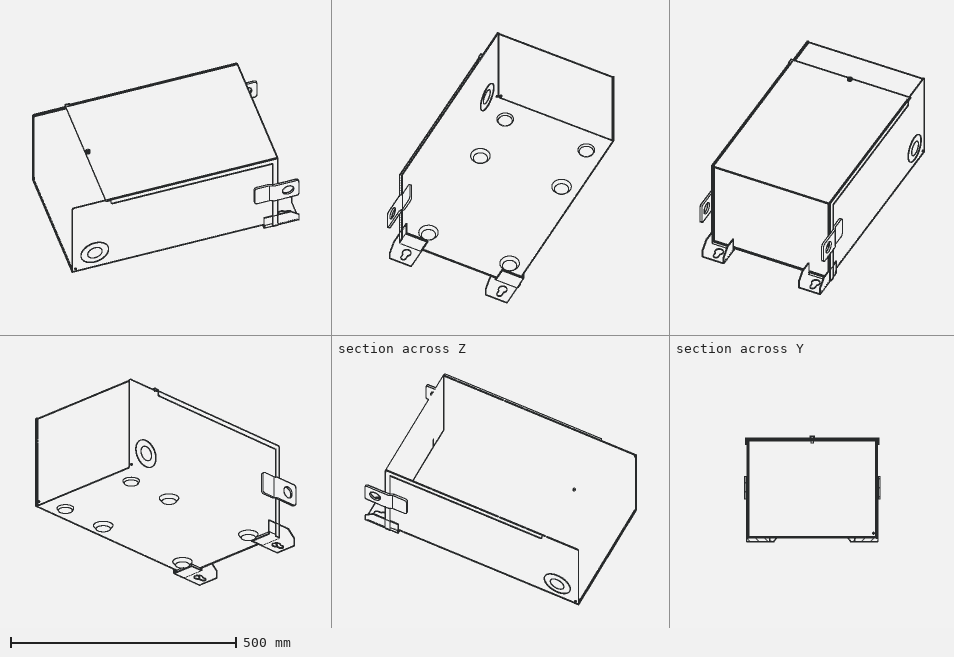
import cadquery as cq


total_width = 306.0
total_length = 528.5
total_height = 234.5
sheet = 1.85

tray_half_width = 144.5
tray_bottom = 8.0
tray_side_top = 228.0
tray_bend_radius = 4.0
tray_nose_radius = 5.0

box_setback = 1.0
box_top = tray_side_top - sheet
box_edge_radius = 2.5
box_half_width = tray_half_width - sheet

foot_x = 101.0
bump_tip_radius = 16.0
foot_root_radius = 21.5
foot_rows_y = (172.5, 427.0)
front_bump_y = 51.0
front_bump_root_radius = 18.5
front_bump_height = 5.5

knockout_y = 52.0
knockout_z = 61.0
knockout_radius = 32.0
knockout_height = 1.5
knockout_center_radius = 17.0
knockout_center_height = 2.0

weep_diameter = 3.5
weep_z = 19.0
weep_side_y = 7.5
weep_front_x = -136.0

bracket_sheet = 2.0
bracket_outer_x = tray_half_width + bracket_sheet
bracket_inner_x = 92.0
bracket_front_y = 446.5
bracket_height = 35.5
bracket_nose_height = 18.5
bracket_slope_length = 19.5
bracket_bend_radius = bracket_sheet
pad_setback = 2.5
keyhole_x = 119.5
keyhole_y = 497.5
keyhole_radius = 9.5
keyhole_slot_radius = 6.0
keyhole_slot_y = 513.0

cover_half_width = bracket_outer_x + sheet
cover_top = tray_side_top + sheet
cover_rear_y = 480.0
cover_front_y = 89.0
cover_strip = 14.0
cover_side_bottom = bracket_bend_radius
cover_bend_radius = 4.0
cover_strip_corner = 5.0
lip_length = 11.5
lip_rise = 0.8

screw_y = 83.0
screw_head_radius = 5.0
screw_shank_radius = 2.5
screw_seat = 230.0
screw_shank_length = 10.5
screw_slot_width = 3.0
screw_slot_depth = 2.0

lug_outer_x = total_width / 2
lug_sheet = 5.0
lug_step = lug_outer_x - lug_sheet - tray_half_width
lug_front_y = 424.0
lug_rear_y = 526.0
lug_bend_front_y = 459.0
lug_bend_rear_y = 466.0
lug_bottom = 94.5
lug_top = 145.5
lug_corner_radius = 6.5
lug_hole_diameter = 26.5
lug_hole_y = 500.5
lug_round_rear_y = 469.5
lug_round_front_y = 463.0
lug_round_drop = 2.4

rear_y = cover_rear_y - sheet


def block(x0, x1, y0, y1, z0, z1):
    """Box between two opposite corners."""
    return cq.Workplane("XY").box(x1 - x0, y1 - y0, z1 - z0, centered=False).translate((x0, y0, z0))


def cylinder_z(x, y, z0, z1, radius):
    """Upright cylinder."""
    return cq.Workplane("XY", origin=(x, y, z0)).circle(radius).extrude(z1 - z0)


def cylinder_x(x0, x1, y, z, radius):
    """Cylinder lying along X."""
    return cq.Workplane("YZ", origin=(x0, y, z)).circle(radius).extrude(x1 - x0)


def on_side(body, side):
    """Left-hand body for side -1, or its mirror image for side 1."""
    return body.mirror("YZ") if side > 0 else body


side_weep_hole = cylinder_x(-tray_half_width, tray_half_width, weep_side_y, weep_z, weep_diameter / 2)
front_weep_hole = (
    cq.Workplane("XZ", origin=(weep_front_x, 0, weep_z))
    .circle(weep_diameter / 2)
    .extrude(-(box_setback + sheet))
)


def make_bump(x, y, root_radius, height):
    """Conical bump hanging from the tray bottom."""
    root_center = cq.Vector(x, y, tray_bottom)
    down = cq.Vector(0, 0, -1)
    cone = cq.Solid.makeCone(root_radius, bump_tip_radius, height, root_center, down)
    return cq.Workplane(cone)


def make_tray():
    tray = block(-tray_half_width, tray_half_width, 0, rear_y, tray_bottom, tray_side_top)
    tray = tray.edges("|Y and <Z").fillet(tray_bend_radius)
    cavity = block(-box_half_width, box_half_width, 0, rear_y, tray_bottom + sheet, tray_side_top)
    tray = tray.cut(cavity.edges("|Y and <Z").fillet(box_edge_radius))
    tray = tray.edges("|X and <Y and >Z").fillet(tray_nose_radius)
    for side in (-1, 1):
        for y in foot_rows_y:
            tray = tray.union(make_bump(side * foot_x, y, foot_root_radius, tray_bottom))
        tray = tray.union(make_bump(side * foot_x, front_bump_y, front_bump_root_radius, front_bump_height))
        for radius, height in (
            (knockout_radius, knockout_height),
            (knockout_center_radius, knockout_center_height),
        ):
            disc = cylinder_x(-tray_half_width - height, -box_half_width, knockout_y, knockout_z, radius)
            tray = tray.union(on_side(disc, side))
    return tray.cut(side_weep_hole)


def make_screw_blank():
    """Screw head and shank without the slot; also the shape of its seat and hole."""
    head = cylinder_z(0, screw_y, screw_seat, total_height, screw_head_radius)
    shank = cylinder_z(0, screw_y, screw_seat - screw_shank_length, screw_seat, screw_shank_radius)
    return head.union(shank)


def make_inner_box():
    """Box with rounded edges, hollow and open at the rear."""
    box = block(-box_half_width, box_half_width, box_setback, rear_y, tray_bottom + sheet, box_top)
    box = box.edges("|Y or <Y").fillet(box_edge_radius)
    box = box.faces(">Y").shell(-sheet)
    return box.cut(side_weep_hole).cut(front_weep_hole).cut(make_screw_blank())


def make_screw():
    """Slotted screw seated on the cover lip, with its shank through the box top."""
    slot = cq.Workplane("XY", origin=(0, screw_y, total_height - screw_slot_depth / 2)).box(
        2 * screw_head_radius, screw_slot_width, screw_slot_depth
    )
    return make_screw_blank().cut(slot)


def make_cover():
    cover = block(
        -cover_half_width, cover_half_width, cover_front_y, cover_rear_y, cover_side_bottom, cover_top
    )
    cover = cover.edges("(|Y and >Z) or (|Z and >Y) or (|X and >Y and >Z)").fillet(cover_bend_radius)
    inside_top = cover_top - sheet
    cover = cover.cut(
        block(-bracket_outer_x, bracket_outer_x, cover_front_y, rear_y, cover_side_bottom, inside_top)
    )

    cover = cover.cut(
        block(-bracket_outer_x, bracket_outer_x, rear_y, cover_rear_y, cover_side_bottom, tray_bottom)
    )

    for flange_left in (-bracket_outer_x, tray_half_width):
        flange_right = flange_left + bracket_sheet
        cover = cover.cut(block(flange_left, flange_right, rear_y, cover_rear_y, tray_bottom, bracket_height))

    side_opening = block(
        -cover_half_width,
        cover_half_width,
        cover_front_y,
        cover_rear_y - cover_strip,
        cover_side_bottom,
        cover_top - cover_strip,
    )
    cover = cover.cut(side_opening)
    cover = cover.edges("|X and <Y").edges("<Z").fillet(cover_strip_corner)

    lip = (
        cq.Workplane("YZ", origin=(-cover_half_width, cover_front_y, cover_top))
        .polyline([(0, 0), (-lip_length, lip_rise), (-lip_length, lip_rise - sheet), (0, -sheet)])
        .close()
        .extrude(2 * cover_half_width)
    )
    return cover.union(lip).cut(make_screw_blank())


def make_bracket():
    """Left wall bracket: floor, two side flanges and a pad under the tray."""
    left = -bracket_outer_x
    right = -bracket_inner_x
    side_outline = [
        (bracket_front_y, 0),
        (total_length, 0),
        (total_length, bracket_nose_height),
        (total_length - bracket_slope_length, bracket_height),
        (bracket_front_y, bracket_height),
    ]
    bracket = (
        cq.Workplane("YZ", origin=(left, 0, 0))
        .polyline(side_outline)
        .close()
        .extrude(right - left)
        .edges("|Y and <Z")
        .fillet(bracket_bend_radius)
    )
    channel = block(
        left + bracket_sheet,
        right - bracket_sheet,
        bracket_front_y,
        total_length,
        bracket_sheet,
        bracket_height,
    )
    bracket = bracket.cut(channel.edges("|Y and <Z").fillet(bracket_bend_radius))

    bracket = bracket.cut(
        block(-tray_half_width, right, bracket_front_y, cover_rear_y, bracket_bend_radius, bracket_height)
    )
    pad = block(
        left + bracket_bend_radius,
        right - bracket_bend_radius,
        bracket_front_y + pad_setback,
        cover_rear_y,
        bracket_sheet,
        tray_bottom,
    )
    bracket = bracket.union(pad)

    keyhole = cylinder_z(-keyhole_x, keyhole_y, 0, bracket_sheet, keyhole_radius)
    keyhole = keyhole.union(cylinder_z(-keyhole_x, keyhole_slot_y, 0, bracket_sheet, keyhole_slot_radius))
    keyhole = keyhole.union(
        block(
            -keyhole_x - keyhole_slot_radius,
            -keyhole_x + keyhole_slot_radius,
            keyhole_y,
            keyhole_slot_y,
            0,
            bracket_sheet,
        )
    )
    return bracket.cut(keyhole)


def make_lug():
    """Left lifting lug: a plate on the tray side that steps out around the cover."""
    outer = -lug_outer_x
    lug = (
        cq.Workplane("XY", origin=(0, 0, lug_bottom))
        .moveTo(outer, lug_rear_y)
        .lineTo(outer, lug_round_rear_y)
        .tangentArcPoint((outer + lug_round_drop, lug_round_front_y), relative=False)
        .lineTo(outer + lug_step, lug_bend_front_y)
        .lineTo(outer + lug_step, lug_front_y)
        .lineTo(-tray_half_width, lug_front_y)
        .lineTo(-tray_half_width, lug_bend_front_y)
        .lineTo(-tray_half_width - lug_step, lug_bend_rear_y)
        .lineTo(-tray_half_width - lug_step, lug_rear_y)
        .close()
        .extrude(lug_top - lug_bottom)
    )
    lug = lug.edges("|X").fillet(lug_corner_radius)
    hole = cylinder_x(outer, -tray_half_width, lug_hole_y, (lug_bottom + lug_top) / 2, lug_hole_diameter / 2)
    return lug.cut(hole)


tray = make_tray()
inner_box = make_inner_box()
cover = make_cover()
screw = make_screw()
brackets = [on_side(make_bracket(), side) for side in (-1, 1)]
lugs = [on_side(make_lug(), side) for side in (-1, 1)]

result = cq.Compound.makeCompound(
    [tray.val(), inner_box.val(), cover.val(), screw.val()] + [body.val() for body in brackets + lugs]
)